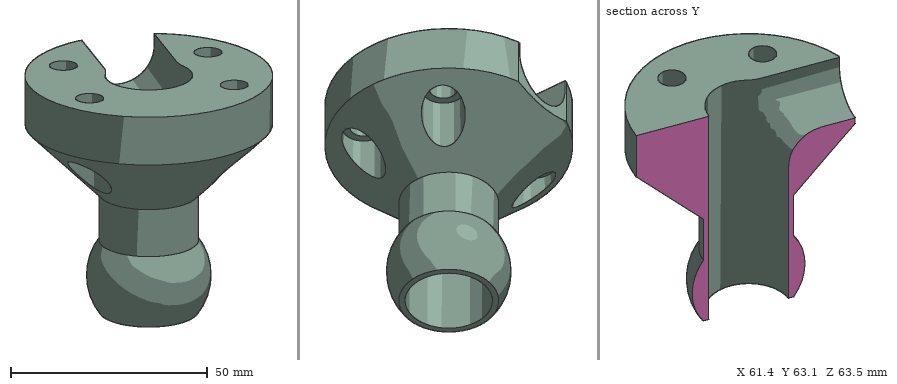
import cadquery as cq
import math

neck_radius = 12.7
neck_length = 12.7
ball_height = 19.05
flange_radius = 31.53
total_height = 63.5
flat_distance = 29.85

bore_diameter = 22.2
channel_width = 19.05
channel_depth = 12.7
channel_blend_radius = 9.5

bolt_diameter = 7.1
head_diameter = 11.1
bolt_spacing_x = 25.4
bolt_spacing_y = 38.1

ball_middle = ball_height / 2
ball_radius = math.hypot(neck_radius, ball_middle)
neck_top = ball_height + neck_length
flange_bottom = neck_top + flange_radius - neck_radius


def make_body():
    """Revolve the outer profile and trim the flat on the -X side."""
    body = (
        cq.Workplane("XZ")
        .lineTo(neck_radius, 0)
        .threePointArc((ball_radius, ball_middle), (neck_radius, ball_height))
        .lineTo(neck_radius, neck_top)
        .lineTo(flange_radius, flange_bottom)
        .lineTo(flange_radius, total_height)
        .lineTo(0, total_height)
        .close()
        .revolve(360, (0, 0), (0, 1))
    )
    trim_size = 2 * flange_radius
    trim = cq.Workplane("XY").box(trim_size, trim_size, total_height, centered=(True, True, False))
    return body.cut(trim.translate((-flat_distance - trim_size / 2, 0, 0)))


def make_channel():
    """Round-bottomed channel running from the flat to the axis."""
    radius = channel_width / 2
    arc_center = total_height - channel_depth + radius
    return (
        cq.Workplane("YZ", origin=(-flat_distance, 0, 0))
        .moveTo(-radius, total_height)
        .lineTo(-radius, arc_center)
        .threePointArc((0, arc_center - radius), (radius, arc_center))
        .lineTo(radius, total_height)
        .close()
        .extrude(flat_distance)
    )


def channel_mouth_edges(part):
    """Edges where the channel breaks into the bore."""
    bore_radius = bore_diameter / 2
    corner_x = -math.sqrt(bore_radius**2 - (channel_width / 2) ** 2)
    tolerance = 0.05
    selection_box = cq.selectors.BoxSelector(
        (-bore_radius - tolerance, -channel_width / 2 - tolerance, total_height - channel_depth - tolerance),
        (corner_x + tolerance, channel_width / 2 + tolerance, total_height + tolerance),
        boundingbox=True,
    )
    return part.edges(selection_box)


def cut_bolt_holes(part):
    """Bolt holes through the flange, widened below it for the screw heads."""
    holes = cq.Workplane("XY", origin=(0, 0, neck_top)).rarray(bolt_spacing_x, bolt_spacing_y, 2, 2)
    bolts = holes.circle(bolt_diameter / 2).extrude(total_height - neck_top)
    heads = holes.circle(head_diameter / 2).extrude(flange_bottom - neck_top)
    return part.cut(bolts).cut(heads)


bore = cq.Workplane("XY").circle(bore_diameter / 2).extrude(total_height)
hollow_body = make_body().cut(bore).cut(make_channel())
blended_body = channel_mouth_edges(hollow_body).fillet(channel_blend_radius)
result = cut_bolt_holes(blended_body)